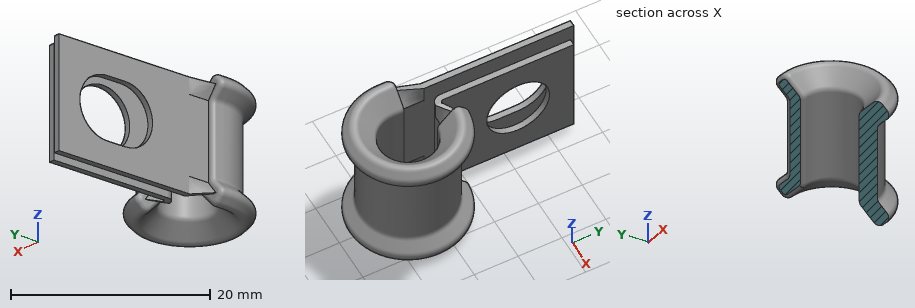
import cadquery as cq
import math


cushion_height = 14.3
rim_radius = 6.67
bore_radius = 3.18
wall = 2.2
profile_fillet = 0.75
end_fillet = 0.5
wrap_angle = 270
straight_end = 1.45

strip_thickness = 0.72
strip_width = 12.8
strip_inner_radius = 3.93
bend_inner_radius = 0.3
short_ear_x = -2.5
long_ear_end = 21.0
short_ear_end = 19.85

flare_start = 4.48
flare_tip_height = 5.95
flare_tip_outer_radius = 5.8
flare_tip_thickness = 0.45

hole_y = 13.5
hole_diameter = 7.15
slot_length = 9.5

barrel_radius = bore_radius + wall
strip_outer_radius = strip_inner_radius + strip_thickness
bend_outer_radius = bend_inner_radius + strip_thickness
bend_end_x = short_ear_x + bend_outer_radius
long_ear_start = strip_inner_radius


def cushion_section():
    """Wall section at -X: straight barrel with a 45 degree lip at each end."""
    half_height = cushion_height / 2
    tip_step = (wall - 2 * profile_fillet) / math.sqrt(2)
    corner_reach = profile_fillet * math.sqrt(2)

    outer_centre_r = rim_radius - profile_fillet
    inner_centre_z = half_height - profile_fillet
    inner_tip = (outer_centre_r - tip_step, inner_centre_z + corner_reach)
    outer_tip = (outer_centre_r + corner_reach, inner_centre_z - tip_step)
    inner_bend = (bore_radius, inner_tip[1] - (inner_tip[0] - bore_radius))
    outer_bend = (barrel_radius, outer_tip[1] - (outer_tip[0] - barrel_radius))

    upper = [inner_bend, inner_tip, outer_tip, outer_bend]
    lower = [(r, -z) for r, z in reversed(upper)]
    outline = [(-r, z) for r, z in upper + lower]
    return cq.Sketch().polygon(outline + outline[:1]).vertices().fillet(profile_fillet)


def make_cushion():
    section = cq.Workplane("XZ").placeSketch(cushion_section())
    arc = section.revolve(wrap_angle, (0, 0, 0), (0, 1, 0))
    straight = section.extrude(-straight_end)
    straight = straight.faces(">Y").edges().fillet(end_fillet)
    wall_middle = (0, bore_radius + wall / 2, 0)
    arc = arc.faces(cq.selectors.NearestToPointSelector(wall_middle)).edges().fillet(end_fillet)
    return arc.union(straight)


def make_flared_strip(start, direction, outward, length):
    """Strip run whose flat corners lean outwards as it nears the cushion."""
    plane = cq.Plane(origin=start, xDir=outward, normal=direction)
    flat_edge = strip_width / 2
    root_outer = (strip_outer_radius, flare_start)
    root_inner = (strip_inner_radius, flare_start)
    tip_outer = (flare_tip_outer_radius, flare_tip_height)
    tip_inner = (flare_tip_outer_radius - flare_tip_thickness, flare_tip_height)

    strip = (
        cq.Workplane(plane)
        .center((strip_inner_radius + strip_outer_radius) / 2, 0)
        .rect(strip_thickness, 2 * flare_start)
        .extrude(length)
    )
    flat = [root_inner, root_outer, (strip_outer_radius, flat_edge), (strip_inner_radius, flat_edge)]
    leaning = [root_inner, root_outer, tip_outer, tip_inner]
    corner = (
        cq.Workplane(plane)
        .polyline(flat)
        .close()
        .workplane(offset=length)
        .polyline(leaning)
        .close()
        .loft(ruled=True)
    )
    return strip.union(corner).union(corner.mirror("XY"))


def make_long_ear():
    """Straight ear on the -X side with a slot along Y."""
    ear = cq.Workplane("XY").box(
        strip_thickness, long_ear_end - long_ear_start, strip_width, centered=(False, False, True)
    )
    ear = ear.translate((-strip_outer_radius, long_ear_start, 0))
    slot = (
        cq.Workplane("YZ", origin=(-strip_outer_radius, hole_y, 0))
        .slot2D(slot_length, hole_diameter)
        .extrude(strip_thickness)
    )
    strip = make_flared_strip((0, long_ear_start, 0), (0, -1, 0), (-1, 0, 0), long_ear_start - straight_end)
    return ear.cut(slot).union(strip)


def make_short_ear():
    """Ear with a round hole, bent through 90 degrees to meet the +Y end of the cushion."""
    inner_x = short_ear_x + strip_thickness
    bend_y = strip_inner_radius + bend_outer_radius
    diagonal = math.sqrt(0.5)
    outer_mid = (bend_end_x - bend_outer_radius * diagonal, bend_y - bend_outer_radius * diagonal)
    inner_mid = (bend_end_x - bend_inner_radius * diagonal, bend_y - bend_inner_radius * diagonal)
    ear = (
        cq.Workplane("XY", origin=(0, 0, -strip_width / 2))
        .moveTo(short_ear_x, short_ear_end)
        .lineTo(short_ear_x, bend_y)
        .threePointArc(outer_mid, (bend_end_x, strip_inner_radius))
        .lineTo(bend_end_x, strip_outer_radius)
        .threePointArc(inner_mid, (inner_x, bend_y))
        .lineTo(inner_x, short_ear_end)
        .close()
        .extrude(strip_width)
    )
    hole = (
        cq.Workplane("YZ", origin=(short_ear_x, hole_y, 0))
        .circle(hole_diameter / 2)
        .extrude(strip_thickness)
    )
    strip = make_flared_strip((bend_end_x, 0, 0), (1, 0, 0), (0, 1, 0), -bend_end_x)
    return ear.cut(hole).union(strip)


result = make_cushion().union(make_long_ear()).union(make_short_ear())